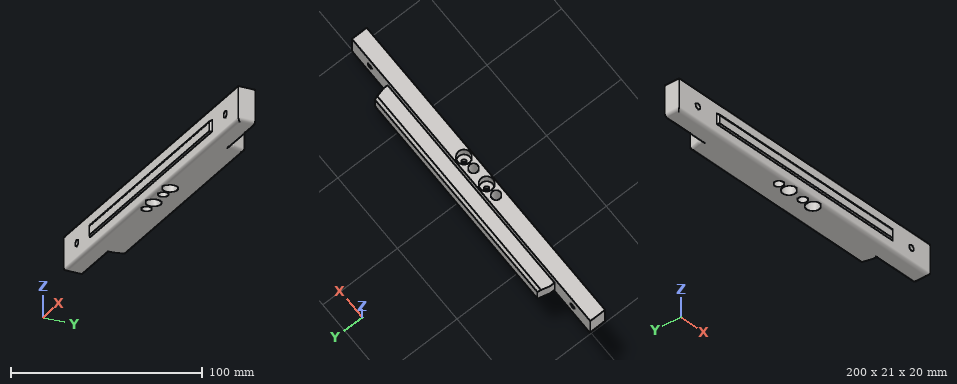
import cadquery as cq

bar_length = 200.0
bar_depth = 10.0
height = 20.0
edge_radius = 2.0

block_depth = 10.0
block_height = 13.5
block_length = 140.0
block_end_length = 136.5
block_straight_depth = 3.0
block_bevel_depth = 2.0
block_bevel_drop = 0.8

strip_length = block_length
strip_height = 6.8
strip_projection = 1.0
strip_side_slope = 0.5
strip_end_slope = 1.2

cross_hole_spacing = 170.0
cross_hole_diameter = 3.5

plain_diameter = 5.5
screw_diameter = 3.0
counterbore_diameter = 8.5
counterbore_depth = 8.0
first_plain_x = -14.8
pair_pitch = 19.0
plain_to_screw = 8.0

bar_middle_y = bar_depth / 2
middle_z = height / 2


def make_bar():
    """Bar with its bottom front and end edges rounded."""
    bar = cq.Workplane("XY").box(bar_length, bar_depth, height, centered=(True, False, False))
    return bar.faces("<Z").edges("<Y or <X or >X").fillet(edge_radius)


def make_block():
    """Block with tapered ends, rounded bottom edges and a shallow bevel at the top back edge."""
    straight_end_y = bar_depth + block_straight_depth
    back_y = bar_depth + block_depth
    block = (
        cq.Workplane("XY")
        .moveTo(-block_length / 2, bar_depth)
        .lineTo(block_length / 2, bar_depth)
        .lineTo(block_length / 2, straight_end_y)
        .lineTo(block_end_length / 2, back_y)
        .lineTo(-block_end_length / 2, back_y)
        .lineTo(-block_length / 2, straight_end_y)
        .close()
        .extrude(block_height)
    )
    block = block.faces("<Z").edges("not <Y").fillet(edge_radius)
    return block.faces(">Z").edges(">Y").chamfer(block_bevel_depth, block_bevel_drop)


def make_strip():
    """Strip that narrows from the front face of the bar to its own front."""
    return (
        cq.Workplane("XZ", origin=(0, 0, middle_z))
        .rect(strip_length, strip_height)
        .workplane(offset=strip_projection)
        .rect(strip_length - 2 * strip_end_slope, strip_height - 2 * strip_side_slope)
        .loft(ruled=True)
    )


def upright_hole(x, diameter, z_start, depth):
    """Vertical cutter in the middle of the bar's depth."""
    return cq.Workplane("XY", origin=(x, bar_middle_y, z_start)).circle(diameter / 2).extrude(depth)


result = make_bar().union(make_block()).union(make_strip())

cross_holes = (
    cq.Workplane("XZ", origin=(0, 0, middle_z))
    .pushPoints([(-cross_hole_spacing / 2, 0), (cross_hole_spacing / 2, 0)])
    .circle(cross_hole_diameter / 2)
    .extrude(-bar_depth)
)
result = result.cut(cross_holes)

for plain_x in (first_plain_x, first_plain_x + pair_pitch):
    screw_x = plain_x + plain_to_screw
    result = result.cut(upright_hole(plain_x, plain_diameter, 0, height))
    result = result.cut(upright_hole(screw_x, screw_diameter, 0, height))
    for z_start in (0, height - counterbore_depth):
        result = result.cut(upright_hole(screw_x, counterbore_diameter, z_start, counterbore_depth))